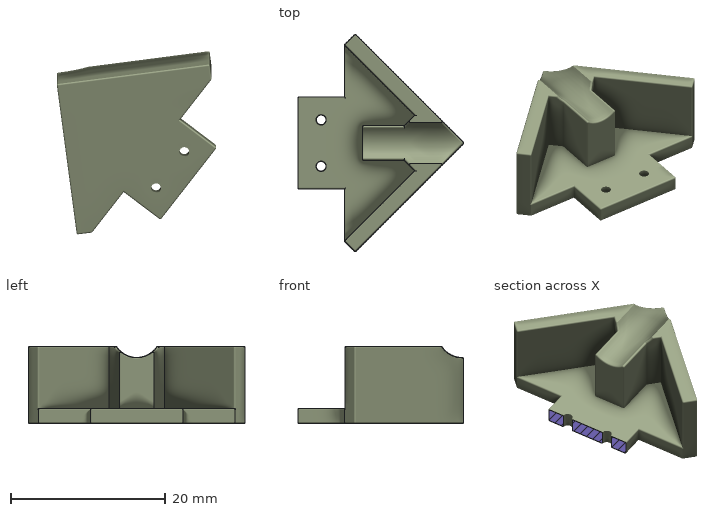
import cadquery as cq
import math

leg_length = 20.0
wall_thickness = 2.0
height = 10.0
base_thickness = 2.0
edge_radius = 0.2
tab_end = 21.57
tab_half_width = 6.0
block_end = 13.22
block_half_width = 2.25
gusset_half_width = 3.6
groove_radius = 3.15
groove_depth = 1.43
hole_diameter = 1.27
hole_edge_distance = 3.0
hole_half_spacing = 3.0
tolerance = 0.01

leg_reach = leg_length / math.sqrt(2)
end_step = wall_thickness / math.sqrt(2)
wall_depth_x = wall_thickness * math.sqrt(2)
back_x = -leg_reach - end_step
back_y = leg_reach - end_step
gusset_x = -wall_depth_x - gusset_half_width
gusset_block_x = gusset_x - (gusset_half_width - block_half_width)


def symmetric_prism(half_outline, prism_height):
    """Extrude the outline formed by a list of points with Y >= 0 and its mirror image."""
    mirrored = [(x, -y) for x, y in reversed(half_outline) if y > 0]
    return cq.Workplane("XY").polyline(half_outline + mirrored).close().extrude(prism_height)


def make_base():
    return symmetric_prism(
        [
            (0, 0),
            (-leg_reach, leg_reach),
            (back_x, back_y),
            (back_x, tab_half_width),
            (-tab_end, tab_half_width),
        ],
        base_thickness,
    )


def make_walls_and_block():
    return symmetric_prism(
        [
            (0, 0),
            (-leg_reach, leg_reach),
            (back_x, back_y),
            (gusset_x, gusset_half_width),
            (gusset_block_x, block_half_width),
            (-block_end, block_half_width),
        ],
        height,
    )


def make_groove():
    axis_height = height - groove_depth + groove_radius
    return cq.Workplane("YZ").center(0, axis_height).circle(groove_radius).extrude(tab_end, both=True)


def is_upright(edge):
    return is_near(abs(edge.tangentAt(0.5).z), 1)


def is_near(value, target):
    return abs(value - target) < tolerance


def is_base_edge_kept_sharp(edge):
    """Tell whether the edge is an upright one on the back line of the base plate."""
    return is_upright(edge) and is_near(edge.Center().x, back_x)


def is_wall_edge_kept_sharp(edge):
    """Tell whether the edge is an inner upright corner or a long groove rim in the top face."""
    middle = edge.Center()
    inner_corner = is_near(middle.x, gusset_x) or is_near(middle.x, gusset_block_x)
    along_x = is_near(abs(edge.tangentAt(0.5).x), 1)
    groove_rim = along_x and is_near(middle.z, height)
    return groove_rim or (is_upright(edge) and inner_corner)


def round_edges(body, is_kept_sharp):
    edges = [edge for edge in body.edges().vals() if not is_kept_sharp(edge)]
    return body.newObject(edges).fillet(edge_radius)


def drill_holes(body):
    hole_x = -tab_end + hole_edge_distance
    centers = [(hole_x, -hole_half_spacing), (hole_x, hole_half_spacing)]
    holes = cq.Workplane("XY").pushPoints(centers).circle(hole_diameter / 2).extrude(base_thickness)
    return body.cut(holes)


base = round_edges(make_base(), is_base_edge_kept_sharp)
walls = round_edges(make_walls_and_block().cut(make_groove()), is_wall_edge_kept_sharp)
result = drill_holes(base.union(walls))